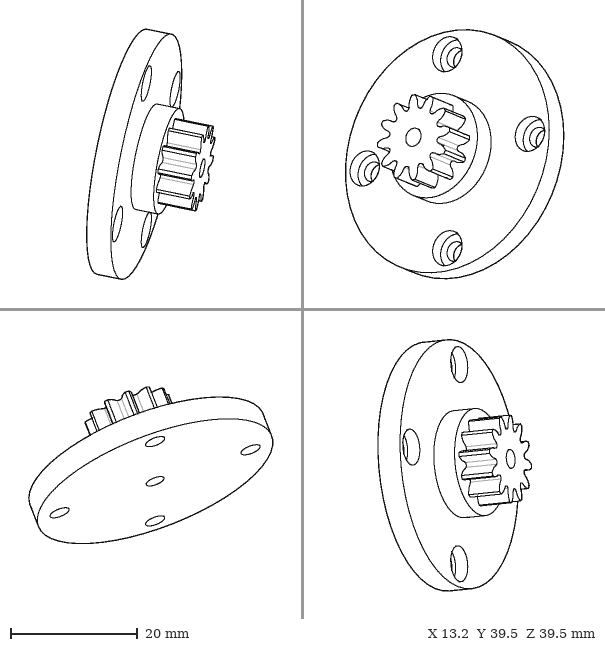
import cadquery as cq
import math

flange_diameter = 39.5
flange_thickness = 4.0
shoulder_diameter = 17
shoulder_length = 3.7
pinion_length = 5.5

bore_diameter = 2.95
bolt_hole_diameter = 3.2
bolt_circle_diameter = 32
counterbore_diameter = 5.7
counterbore_floor = 1.8
bolt_count = 4

tooth_count = 12
tip_diameter = 14.0
pressure_angle = math.radians(20)
dedendum_factor = 1.25
root_round_radius = 0.47
root_round_half_angle = math.radians(55)
flank_steps = 6

module = tip_diameter / (tooth_count + 2)
tip_radius = tip_diameter / 2
pitch_radius = module * tooth_count / 2
base_radius = pitch_radius * math.cos(pressure_angle)
root_radius = pitch_radius - dedendum_factor * module
tooth_pitch = 2 * math.pi / tooth_count

shoulder_start = flange_thickness
pinion_start = shoulder_start + shoulder_length
total_length = pinion_start + pinion_length


def polar(radius, angle):
    return (radius * math.cos(angle), radius * math.sin(angle))


def involute(angle):
    """Polar angle swept by the involute where its pressure angle is `angle`."""
    return math.tan(angle) - angle


def half_tooth_angle(radius):
    """Half the angular width of a tooth on its involute flank at `radius`."""
    local_pressure_angle = math.acos(base_radius / radius)
    return math.pi / (2 * tooth_count) + involute(pressure_angle) - involute(local_pressure_angle)


def foot_point(center_angle, side):
    """Point where the flank of a tooth runs into the round at the bottom of the gap."""
    gap_angle = center_angle + side * tooth_pitch / 2
    x, y = polar(root_radius + root_round_radius, gap_angle)
    dx, dy = polar(root_round_radius, gap_angle + math.pi + side * root_round_half_angle)
    return (x + dx, y + dy)


def flank_points(center_angle, side):
    """Foot point, then involute points from base circle to tip; side is -1 or +1."""
    points = [foot_point(center_angle, side)]
    for step in range(flank_steps + 1):
        radius = base_radius + (tip_radius - base_radius) * (step / flank_steps) ** 2
        points.append(polar(radius, center_angle + side * half_tooth_angle(radius)))
    return points


def flank_tangents(center_angle, side):
    """Outward directions of the flank at its foot and at its tip."""
    foot_direction = center_angle + side * (tooth_pitch / 2 + root_round_half_angle - math.pi / 2)
    tip_pressure_angle = math.acos(base_radius / tip_radius)
    tip_direction = center_angle + side * (half_tooth_angle(tip_radius) - tip_pressure_angle)
    return [polar(1, foot_direction), polar(1, tip_direction)]


def reversed_directions(directions):
    return [(-x, -y) for x, y in reversed(directions)]


def pinion_outline():
    first_flank = flank_points(0, -1)
    outline = cq.Workplane("YZ", origin=(pinion_start, 0, 0)).moveTo(*first_flank[0])
    for tooth in range(tooth_count):
        center = tooth * tooth_pitch
        rising_flank = flank_points(center, -1)
        falling_flank = flank_points(center, 1)[::-1]
        outline = (
            outline
            .spline(rising_flank[1:], tangents=flank_tangents(center, -1), includeCurrent=True)
            .threePointArc(polar(tip_radius, center), falling_flank[0])
            .spline(
                falling_flank[1:],
                tangents=reversed_directions(flank_tangents(center, 1)),
                includeCurrent=True,
            )
            .threePointArc(
                polar(root_radius, center + tooth_pitch / 2),
                foot_point(center + tooth_pitch, -1),
            )
        )
    return outline.close()


def cylinder_along_x(start, diameter, length):
    return cq.Workplane("YZ", origin=(start, 0, 0)).circle(diameter / 2).extrude(length)


def bolt_pattern(start, diameter, length):
    """Cylinders along X at every bolt position."""
    return (
        cq.Workplane("YZ", origin=(start, 0, 0))
        .polarArray(bolt_circle_diameter / 2, 0, 360, bolt_count)
        .circle(diameter / 2)
        .extrude(length)
    )


flange = cylinder_along_x(0, flange_diameter, flange_thickness)
shoulder = cylinder_along_x(shoulder_start, shoulder_diameter, shoulder_length)
pinion = pinion_outline().extrude(pinion_length)
bore = cylinder_along_x(0, bore_diameter, total_length)
bolt_holes = bolt_pattern(0, bolt_hole_diameter, flange_thickness)
counterbores = bolt_pattern(
    counterbore_floor, counterbore_diameter, flange_thickness - counterbore_floor
)

result = (
    flange
    .union(shoulder)
    .union(pinion)
    .cut(bore)
    .cut(bolt_holes)
    .cut(counterbores)
)